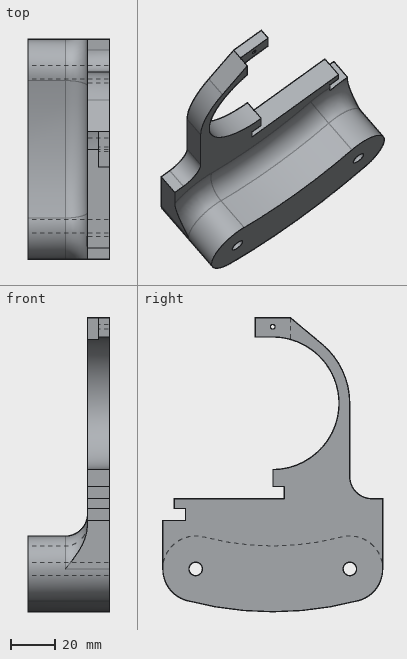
import cadquery as cq
import math


total_depth = 37.0
plate_thickness = 10.0
tab_thickness = plate_thickness / 2
plate_front = total_depth - plate_thickness
blend_radius = 10.0

hole_offset = 35.0
foot_radius = 15.0
foot_sag = 4.5
mounting_hole_diameter = 6.0
half_width = hole_offset + foot_radius

hook_center_z = 75.2
hook_inner_radius = 30.0
hook_outer_radius = hole_offset
hook_bottom_z = hook_center_z - hook_inner_radius
tab_half_width = 8.0
tab_bottom_z = hook_center_z + hook_inner_radius
top_z = 114.1
tab_hole_diameter = 2.0
tab_hole_depth = 4.1
tab_hole_z = top_z - tab_hole_depth

shoulder_z = 32.0
corner_radius = 10.0
hook_lip_z = 37.4
hook_notch_y = 5.2
ledge_end_y = -44.8
ledge_bottom_z = 27.4
side_notch_y = -39.7
side_notch_z = 22.0


def foot_outline():
    """Constant-width slot along an arc that sags between the hole centers."""
    arc_radius = (hole_offset**2 + foot_sag**2) / (2 * foot_sag)
    arc_center_z = arc_radius - foot_sag
    end_angle = math.asin(hole_offset / arc_radius)
    rise = foot_radius * math.cos(end_angle)
    shift = foot_radius * math.sin(end_angle)
    upper_y = hole_offset - shift
    lower_y = hole_offset + shift
    upper_mid_z = arc_center_z - (arc_radius - foot_radius)
    lower_mid_z = arc_center_z - (arc_radius + foot_radius)
    cap_y = hole_offset + foot_radius * math.cos(end_angle)
    cap_z = foot_radius * math.sin(end_angle)
    return (
        cq.Workplane("YZ")
        .moveTo(-upper_y, rise)
        .threePointArc((0, upper_mid_z), (upper_y, rise))
        .threePointArc((cap_y, cap_z), (lower_y, -rise))
        .threePointArc((0, lower_mid_z), (-lower_y, -rise))
        .threePointArc((-cap_y, cap_z), (-upper_y, rise))
        .close()
    )


def plate_outline():
    """Plate with the open hook, drawn from the lower +Y corner upward."""
    corner_height = top_z - hook_center_z
    corner_distance = math.hypot(tab_half_width, corner_height)
    corner_angle = math.atan2(corner_height, tab_half_width)
    tangent_angle = corner_angle - math.acos(hook_outer_radius / corner_distance)

    def outer_point(angle):
        y = hook_outer_radius * math.cos(angle)
        z = hook_center_z + hook_outer_radius * math.sin(angle)
        return (y, z)

    corner_mid = corner_radius * (1 - math.sqrt(0.5))
    return (
        cq.Workplane("YZ")
        .moveTo(half_width, 0)
        .lineTo(half_width, shoulder_z)
        .lineTo(hook_outer_radius + corner_radius, shoulder_z)
        .threePointArc(
            (hook_outer_radius + corner_mid, shoulder_z + corner_mid),
            (hook_outer_radius, shoulder_z + corner_radius),
        )
        .lineTo(hook_outer_radius, hook_center_z)
        .threePointArc(outer_point(tangent_angle / 2), outer_point(tangent_angle))
        .lineTo(tab_half_width, top_z)
        .lineTo(-tab_half_width, top_z)
        .lineTo(-tab_half_width, tab_bottom_z)
        .lineTo(0, tab_bottom_z)
        .threePointArc((hook_inner_radius, hook_center_z), (0, hook_bottom_z))
        .lineTo(0, hook_lip_z)
        .lineTo(hook_notch_y, hook_lip_z)
        .lineTo(hook_notch_y, shoulder_z)
        .lineTo(ledge_end_y, shoulder_z)
        .lineTo(ledge_end_y, ledge_bottom_z)
        .lineTo(side_notch_y, ledge_bottom_z)
        .lineTo(side_notch_y, side_notch_z)
        .lineTo(-half_width, side_notch_z)
        .lineTo(-half_width, 0)
        .close()
    )


def round_cut(y, z, diameter):
    """Cylinder along X through the full depth."""
    return cq.Workplane("YZ").center(y, z).circle(diameter / 2).extrude(total_depth)


slab_size = 4 * top_z
seam_margin = 1.3
slab = cq.Workplane("YZ", origin=(plate_front, 0, 0)).rect(slab_size, slab_size).extrude(plate_thickness)
blended = slab.union(foot_outline().extrude(plate_front))
seam = cq.selectors.BoxSelector(
    (plate_front - seam_margin, -half_width - seam_margin, -half_width),
    (plate_front + seam_margin, half_width + seam_margin, half_width),
)
blended = blended.edges(seam).fillet(blend_radius)

silhouette = plate_outline().extrude(total_depth).union(foot_outline().extrude(total_depth))
result = blended.intersect(silhouette)

tab_relief = cq.Workplane("XY").box(
    plate_thickness - tab_thickness,
    2 * tab_half_width,
    top_z - hook_center_z,
    centered=(False, True, False),
)
result = result.cut(tab_relief.translate((plate_front, 0, hook_center_z)))

for side in (-1, 1):
    result = result.cut(round_cut(side * hole_offset, 0, mounting_hole_diameter))
result = result.cut(round_cut(0, tab_hole_z, tab_hole_diameter))